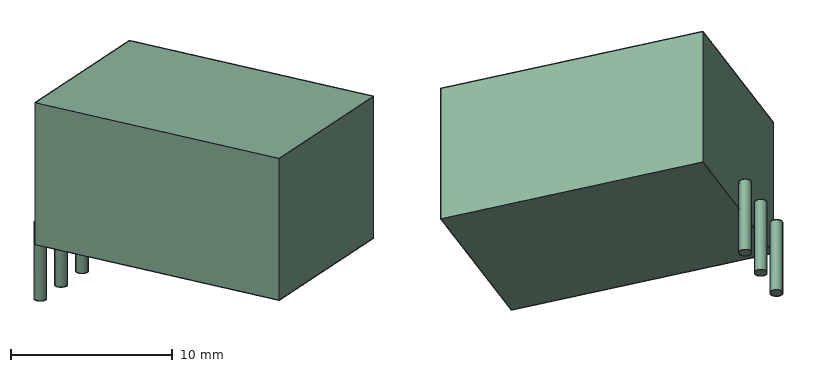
import cadquery as cq

total_length = 19.4
total_height = 14.6

housing_length = 17.5
housing_width = 11.5
housing_height = 9.5

pin_diameter = 0.8
pin_pitch = 2.55
pin_count = 3
pin_length = total_height - housing_height

pin_radius = pin_diameter / 2
housing_start_x = total_length - housing_length - pin_radius


def make_housing():
    """Block centred on Y, rising from Z = 0."""
    return (
        cq.Workplane("XY")
        .box(housing_length, housing_width, housing_height, centered=(False, True, False))
        .translate((housing_start_x, 0, 0))
    )


def make_pin(center_y):
    """Round post whose top end is level with the housing underside."""
    return cq.Workplane("XY").center(0, center_y).circle(pin_radius).extrude(-pin_length)


housing = make_housing()

pins = []
for index in range(pin_count):
    pin_y = (index - (pin_count - 1) / 2) * pin_pitch
    pins.append(make_pin(pin_y))

result = cq.Compound.makeCompound([housing.val(), *[pin.val() for pin in pins]])